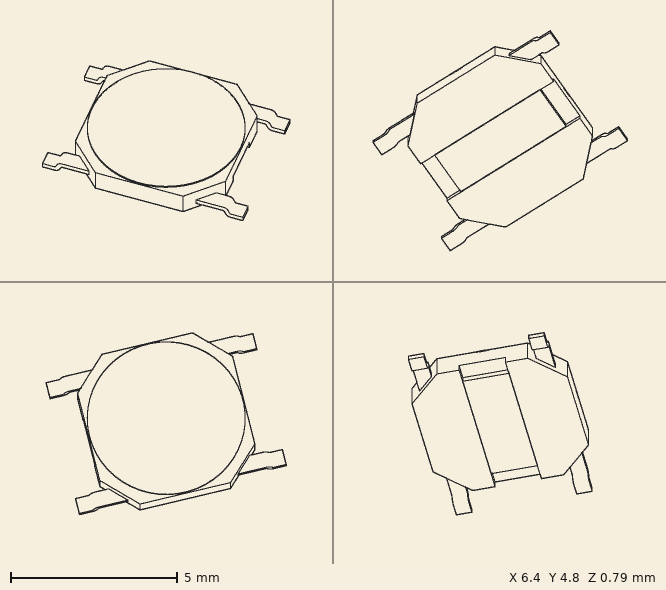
import cadquery as cq
import math

body_side = 4.8
corner_cut = 1.0
body_bottom = 0.045
body_top = 0.74

total_height = 0.79
cover_diameter = 4.75

channel_width = 1.43
channel_roof = 0.09
notch_roof = 0.255
notch_depth = 0.5

lead_span = 6.4
lead_width = 0.48
lead_center_y = 1.855
lead_thickness = 0.155
lead_top = 0.37
foot_length = 0.4
ramp_angle = 63.0
outer_bend_radius = 0.35 / 2
inner_bend_radius = outer_bend_radius - lead_thickness


def make_blank():
    """Square block with its four corners cut off, before the underside is shaped."""
    return (
        cq.Workplane("XY")
        .workplane(offset=body_bottom)
        .rect(body_side, body_side)
        .extrude(body_top - body_bottom)
        .edges("|Z")
        .chamfer(corner_cut)
    )


def make_housing():
    """Blank with the underside channel and its two deeper end notches."""
    channel = (
        cq.Workplane("XY")
        .workplane(offset=body_bottom)
        .rect(body_side, channel_width)
        .extrude(channel_roof - body_bottom)
    )
    notch_center_x = (body_side - notch_depth) / 2
    notches = (
        cq.Workplane("XY")
        .workplane(offset=body_bottom)
        .pushPoints([(-notch_center_x, 0), (notch_center_x, 0)])
        .rect(notch_depth, channel_width)
        .extrude(notch_roof - body_bottom)
    )
    return make_blank().cut(channel).cut(notches)


def make_cover():
    """Thin disc lying on the housing."""
    return (
        cq.Workplane("XY")
        .workplane(offset=body_top)
        .circle(cover_diameter / 2)
        .extrude(total_height - body_top)
    )


def make_lead():
    """Bent strip at the -X, -Y corner, trimmed to the corner face."""
    tip = -lead_span / 2
    inner_end = -body_side / 2 + corner_cut
    rise = lead_top - lead_thickness
    ramp_run = rise / math.tan(math.radians(ramp_angle))
    miter = lead_thickness * math.tan(math.radians(ramp_angle / 2))

    foot_bend_top = tip + foot_length
    foot_bend_bottom = foot_bend_top + miter
    shoulder_top = foot_bend_top + ramp_run
    shoulder_bottom = foot_bend_bottom + ramp_run

    strip = (
        cq.Workplane("XZ", origin=(0, -lead_center_y, 0))
        .moveTo(tip, 0)
        .lineTo(foot_bend_bottom, 0)
        .lineTo(shoulder_bottom, rise)
        .lineTo(inner_end, rise)
        .lineTo(inner_end, lead_top)
        .lineTo(shoulder_top, lead_top)
        .lineTo(foot_bend_top, lead_thickness)
        .lineTo(tip, lead_thickness)
        .close()
        .extrude(lead_width / 2, both=True)
    )
    outer_bends = [(foot_bend_bottom, 0), (shoulder_top, lead_top)]
    inner_bends = [(foot_bend_top, lead_thickness), (shoulder_bottom, rise)]
    for bends, radius in ((outer_bends, outer_bend_radius), (inner_bends, inner_bend_radius)):
        for x, z in bends:
            bend_edge = cq.selectors.NearestToPointSelector((x, -lead_center_y, z))
            strip = strip.edges("|Y").edges(bend_edge).fillet(radius)
    return strip.cut(make_blank())


def make_leads():
    """One lead at each corner, mirrored across both vertical mid-planes."""
    front_left = make_lead()
    leads = [front_left, front_left.mirror("XZ")]
    leads += [lead.mirror("YZ") for lead in leads]
    return leads


housing = make_housing()
cover = make_cover()
leads = make_leads()

result = cq.Compound.makeCompound([housing.val(), cover.val(), *[lead.val() for lead in leads]])